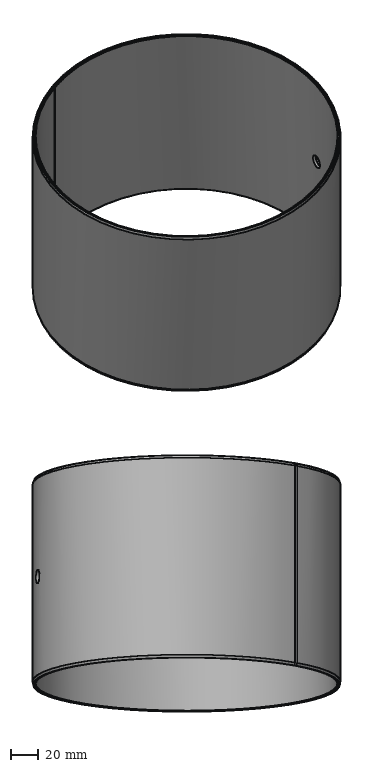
import cadquery as cq
import math

outer_diameter = 225.0
height = 150.0
wall = 2.5
outer_taper_width = 0.7
outer_taper_height = 2.0
inner_chamfer_width = 0.7
inner_chamfer_height = 0.7
seam_angle = 1.0
hole_diameter = 10.0
hole_angle = 59.0

outer_radius = outer_diameter / 2
inner_radius = outer_radius - wall
half_height = height / 2


def make_sleeve():
    """Open ring centred on the origin, both rims tapered outside and chamfered inside."""
    rim_radius = outer_radius - outer_taper_width
    shoulder = half_height - outer_taper_height
    mouth_radius = inner_radius + inner_chamfer_width
    inner_edge = half_height - inner_chamfer_height
    wall_section = [
        (-inner_radius, -inner_edge),
        (-mouth_radius, -half_height),
        (-rim_radius, -half_height),
        (-outer_radius, -shoulder),
        (-outer_radius, shoulder),
        (-rim_radius, half_height),
        (-mouth_radius, half_height),
        (-inner_radius, inner_edge),
    ]
    profile = cq.Workplane("XZ").polyline(wall_section).close()
    return profile.revolve(360 - seam_angle, (0, 0), (0, 1))


def make_hole():
    """Radial cutter through one wall at mid height."""
    angle = math.radians(hole_angle)
    outward = cq.Vector(math.cos(angle), math.sin(angle), 0)
    axis_plane = cq.Plane(origin=(0, 0, 0), xDir=(0, 0, 1), normal=outward)
    return cq.Workplane(axis_plane).circle(hole_diameter / 2).extrude(outer_diameter)


result = make_sleeve().cut(make_hole())